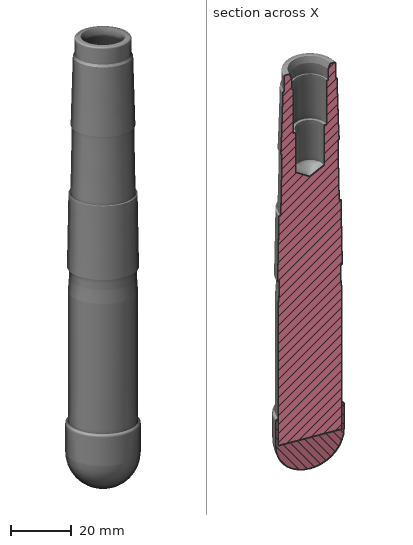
import cadquery as cq

total_length = 161.0
cap_rim_height = 23.5
flare_bottom = 70.0
flare_top = 74.9
grip_bottom = 78.7
middle_bottom = 105.0
front_bottom = 129.5
front_top = 154.0
collar_bottom = 154.9

cap_diameter = 25.0
shaft_diameter = 23.2
neck_diameter = 22.5
grip_lower_diameter = 23.8
grip_upper_diameter = 22.9
middle_lower_diameter = 21.5
middle_upper_diameter = 20.6
front_lower_diameter = 21.4
front_upper_diameter = 20.0
collar_diameter = 18.8

collar_round = 0.6

mouth_diameter = 14.8
upper_bore_diameter = 13.0
middle_bore_diameter = 12.0
lower_bore_diameter = 10.1
mouth_depth = 2.3
upper_bore_depth = 6.5
middle_bore_depth = 24.1
lower_bore_depth = 40.2
drill_point_depth = 3.0

cap_radius = cap_diameter / 2
shaft_radius = shaft_diameter / 2
cap_rim_round = cap_radius - shaft_radius
socket_floor = cap_radius


def revolve_about_z(profile):
    """Revolve a closed (radius, height) profile about the Z axis."""
    return profile.close().revolve(360, (0, 0, 0), (0, 1, 0))


def make_bore():
    """Stepped bore with a tapered mouth and a conical floor, as a cutting tool."""
    mouth_floor = total_length - mouth_depth
    upper_floor = total_length - upper_bore_depth
    middle_floor = total_length - middle_bore_depth
    lower_floor = total_length - lower_bore_depth
    profile = (
        cq.Workplane("XZ")
        .moveTo(0, total_length)
        .lineTo(mouth_diameter / 2, total_length)
        .lineTo(upper_bore_diameter / 2, mouth_floor)
        .lineTo(upper_bore_diameter / 2, upper_floor)
        .lineTo(middle_bore_diameter / 2, upper_floor)
        .lineTo(middle_bore_diameter / 2, middle_floor)
        .lineTo(lower_bore_diameter / 2, middle_floor)
        .lineTo(lower_bore_diameter / 2, lower_floor)
        .lineTo(0, lower_floor - drill_point_depth)
    )
    return revolve_about_z(profile)


def make_handle():
    """Shaft that narrows to a neck, three tapered grip lengths and a collar."""
    profile = (
        cq.Workplane("XZ")
        .moveTo(0, socket_floor)
        .lineTo(shaft_radius, socket_floor)
        .lineTo(shaft_radius, flare_bottom)
        .lineTo(neck_diameter / 2, flare_top)
        .lineTo(neck_diameter / 2, grip_bottom)
        .lineTo(grip_lower_diameter / 2, grip_bottom)
        .lineTo(grip_upper_diameter / 2, middle_bottom)
        .lineTo(middle_lower_diameter / 2, middle_bottom)
        .lineTo(middle_upper_diameter / 2, front_bottom)
        .lineTo(front_lower_diameter / 2, front_bottom)
        .lineTo(front_upper_diameter / 2, front_top)
        .lineTo(collar_diameter / 2, collar_bottom)
        .lineTo(collar_diameter / 2, total_length - collar_round)
        .radiusArc((collar_diameter / 2 - collar_round, total_length), -collar_round)
        .lineTo(0, total_length)
    )
    return revolve_about_z(profile).cut(make_bore())


def make_cap():
    """Domed cap with a flat-bottomed socket that holds the end of the shaft."""
    dome_middle = cap_radius * (1 - 0.5 ** 0.5)
    profile = (
        cq.Workplane("XZ")
        .moveTo(0, 0)
        .threePointArc((cap_radius * 0.5 ** 0.5, dome_middle), (cap_radius, cap_radius))
        .lineTo(cap_radius, cap_rim_height - cap_rim_round)
        .radiusArc((shaft_radius, cap_rim_height), -cap_rim_round)
        .lineTo(shaft_radius, socket_floor)
        .lineTo(0, socket_floor)
    )
    return revolve_about_z(profile)


handle = make_handle()
cap = make_cap()
result = cq.Compound.makeCompound([handle.val(), cap.val()])